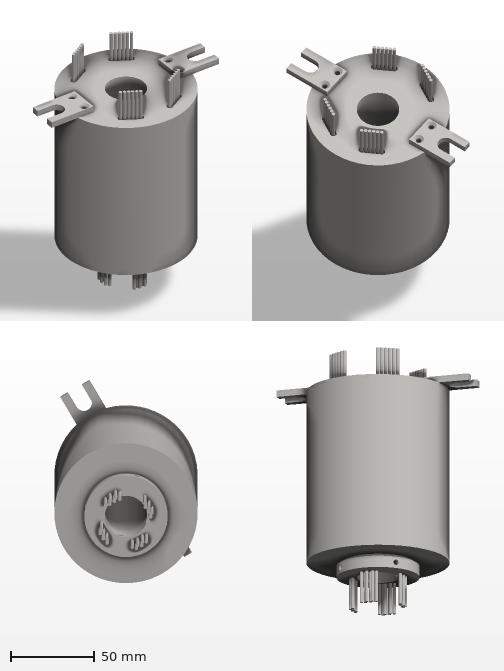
import cadquery as cq
import math

HOUSING_DIAMETER = 86.0
HOUSING_HEIGHT = 106.0
BORE_DIAMETER = 25.4

NECK_DIAMETER = 44.0
NECK_HEIGHT = 2.0
COLLAR_DIAMETER = 50.0
COLLAR_HEIGHT = 7.0
COLLAR_BOTTOM = -(NECK_HEIGHT + COLLAR_HEIGHT)
SET_SCREW_DIAMETER = 3.3
SET_SCREW_COUNT = 4
SET_SCREW_START_ANGLE = 45.0

WIRE_DIAMETER = 2.1
WIRE_LENGTH = 19.0

UPPER_ROW_ANGLE = 29.6
UPPER_ROW_ANGLES = (
    UPPER_ROW_ANGLE,
    180.0 - UPPER_ROW_ANGLE,
    180.0 + UPPER_ROW_ANGLE,
    360.0 - UPPER_ROW_ANGLE,
)
UPPER_ROW_RADIUS = 32.0
UPPER_ROW_WIRES = 6
UPPER_WIRE_PITCH = 2.45
POCKET_WIDTH = 3.9
POCKET_DEPTH = 3.0

LOWER_GROUP_ANGLES = (0.0, 90.0, 180.0, 270.0)
WIRES_PER_ARC = 3
OUTER_ARC_RADIUS = 16.7
OUTER_ARC_START = -17.0
OUTER_ARC_STEP = 12.5
INNER_ARC_RADIUS = 15.2
INNER_ARC_START = -10.3
INNER_ARC_STEP = 13.0
WIRE_ROOT = 1.0

PLATE_WIDTH = 20.0
PLATE_THICKNESS = 4.0
PLATE_INNER_Y = 30.5
PLATE_OUTER_Y = 61.0
FORK_WIDTH = 10.0
FORK_DEPTH = 15.5
SCREW_SPACING = 12.8
SCREW_Y = 35.0
SCREW_HOLE_DIAMETER = 3.2
COUNTERSINK_DIAMETER = 6.3
COUNTERSINK_ANGLE = 90.0
SCREW_HOLE_DEPTH = 8.0
DRILL_POINT_ANGLE = 118.0


def cylinder(diameter, height, bottom, x=0.0, y=0.0):
    """Upright cylinder with its base at Z = bottom."""
    return cq.Workplane("XY", origin=(x, y, bottom)).circle(diameter / 2).extrude(height)


def polar(radius, angle):
    """X and Y of a point at the given radius and angle in degrees."""
    return radius * math.cos(math.radians(angle)), radius * math.sin(math.radians(angle))


def make_body():
    """Housing, neck and collar with the common through bore."""
    housing = cylinder(HOUSING_DIAMETER, HOUSING_HEIGHT, 0)
    neck = cylinder(NECK_DIAMETER, NECK_HEIGHT, -NECK_HEIGHT)
    collar = cylinder(COLLAR_DIAMETER, COLLAR_HEIGHT, COLLAR_BOTTOM)
    bore = cylinder(BORE_DIAMETER, HOUSING_HEIGHT - COLLAR_BOTTOM, COLLAR_BOTTOM)
    return housing.union(neck).union(collar).cut(bore)


def cut_set_screw_holes(body):
    """Radial holes through the collar wall at mid height."""
    hole = (
        cq.Workplane("YZ", origin=(0, 0, COLLAR_BOTTOM + COLLAR_HEIGHT / 2))
        .circle(SET_SCREW_DIAMETER / 2)
        .extrude(COLLAR_DIAMETER)
    )
    for index in range(SET_SCREW_COUNT):
        angle = SET_SCREW_START_ANGLE + index * 360 / SET_SCREW_COUNT
        body = body.cut(hole.rotate((0, 0, 0), (0, 0, 1), angle))
    return body


def add_upper_wires(body):
    """Pockets in the housing top, each holding a tangential row of wires."""
    row_span = (UPPER_ROW_WIRES - 1) * UPPER_WIRE_PITCH
    pocket_floor = HOUSING_HEIGHT - POCKET_DEPTH
    pocket = (
        cq.Workplane("XY", origin=(UPPER_ROW_RADIUS, 0, pocket_floor))
        .slot2D(row_span + POCKET_WIDTH, POCKET_WIDTH, 90)
        .extrude(POCKET_DEPTH)
    )
    wires = (
        cq.Workplane("XY", origin=(UPPER_ROW_RADIUS, 0, pocket_floor))
        .rarray(1, UPPER_WIRE_PITCH, 1, UPPER_ROW_WIRES)
        .circle(WIRE_DIAMETER / 2)
        .extrude(POCKET_DEPTH + WIRE_LENGTH)
    )
    for angle in UPPER_ROW_ANGLES:
        body = body.cut(pocket.rotate((0, 0, 0), (0, 0, 1), angle))
        body = body.union(wires.rotate((0, 0, 0), (0, 0, 1), angle))
    return body


def add_lower_wires(body):
    """Wires hanging from the collar face, on two staggered arcs per group."""
    arcs = (
        (OUTER_ARC_RADIUS, OUTER_ARC_START, OUTER_ARC_STEP),
        (INNER_ARC_RADIUS, INNER_ARC_START, INNER_ARC_STEP),
    )
    tip = COLLAR_BOTTOM - WIRE_LENGTH
    for group_angle in LOWER_GROUP_ANGLES:
        for radius, start, step in arcs:
            for index in range(WIRES_PER_ARC):
                x, y = polar(radius, group_angle + start + index * step)
                body = body.union(cylinder(WIRE_DIAMETER, WIRE_LENGTH + WIRE_ROOT, tip, x, y))
    return body


def make_plate():
    """Forked plate on the +Y side, lying on the housing top."""
    fork_radius = FORK_WIDTH / 2
    fork_centre_y = PLATE_OUTER_Y - FORK_DEPTH + fork_radius
    return (
        cq.Workplane("XY", origin=(0, 0, HOUSING_HEIGHT))
        .moveTo(-PLATE_WIDTH / 2, PLATE_INNER_Y)
        .lineTo(PLATE_WIDTH / 2, PLATE_INNER_Y)
        .lineTo(PLATE_WIDTH / 2, PLATE_OUTER_Y)
        .lineTo(fork_radius, PLATE_OUTER_Y)
        .lineTo(fork_radius, fork_centre_y)
        .threePointArc((0, fork_centre_y - fork_radius), (-fork_radius, fork_centre_y))
        .lineTo(-fork_radius, PLATE_OUTER_Y)
        .lineTo(-PLATE_WIDTH / 2, PLATE_OUTER_Y)
        .close()
        .extrude(PLATE_THICKNESS)
    )


def make_screw_holes():
    """Pair of countersunk blind holes with drill points, on the +Y side."""
    hole_radius = SCREW_HOLE_DIAMETER / 2
    sink_radius = COUNTERSINK_DIAMETER / 2
    sink_depth = (sink_radius - hole_radius) / math.tan(math.radians(COUNTERSINK_ANGLE / 2))
    point_depth = hole_radius / math.tan(math.radians(DRILL_POINT_ANGLE / 2))
    hole = (
        cq.Workplane("XZ")
        .moveTo(0, 0)
        .lineTo(sink_radius, 0)
        .lineTo(hole_radius, -sink_depth)
        .lineTo(hole_radius, -SCREW_HOLE_DEPTH)
        .lineTo(0, -SCREW_HOLE_DEPTH - point_depth)
        .close()
        .revolve(360, (0, 0), (0, 1))
    )
    plate_top = HOUSING_HEIGHT + PLATE_THICKNESS
    left = hole.translate((-SCREW_SPACING / 2, SCREW_Y, plate_top))
    right = hole.translate((SCREW_SPACING / 2, SCREW_Y, plate_top))
    return left.union(right)


def add_plates(body):
    """Two opposite forked plates screwed to the housing top."""
    plate = make_plate()
    screw_holes = make_screw_holes()
    for angle in (0, 180):
        body = body.union(plate.rotate((0, 0, 0), (0, 0, 1), angle))
        body = body.cut(screw_holes.rotate((0, 0, 0), (0, 0, 1), angle))
    return body


result = make_body()
result = cut_set_screw_holes(result)
result = add_upper_wires(result)
result = add_lower_wires(result)
result = add_plates(result)